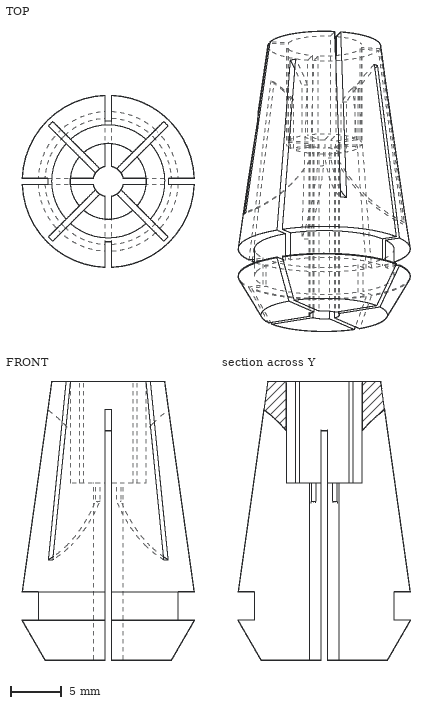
import cadquery as cq
import math

length = 27.5
max_radius = 8.5
nose_face_radius = 6.25
nose_half_angle = 30.0
taper_half_angle = 8.0

groove_bottom = 4.0
groove_top = 6.75
groove_radius = 6.9

clamp_radius = 1.5
relief_radius = 3.75
relief_depth = 10.0

slot_width = 0.6
saw_radius = 13.75
slots_per_set = 4
slot_pitch = 360.0 / slots_per_set

low_slot_end = 24.72
low_saw_distance = 14.2

high_slot_end = 9.9
high_saw_distance = 13.36

nose_cone_height = (max_radius - nose_face_radius) / math.tan(math.radians(nose_half_angle))
taper_slope = math.tan(math.radians(taper_half_angle))


def taper_radius(z):
    """Outer radius of the long taper at height z."""
    return max_radius - (z - groove_top) * taper_slope


def turned_body():
    """Collet blank with its stepped bore, revolved about Z."""
    relief_floor = length - relief_depth
    half_section = [
        (clamp_radius, 0),
        (nose_face_radius, 0),
        (max_radius, nose_cone_height),
        (max_radius, groove_bottom),
        (groove_radius, groove_bottom),
        (groove_radius, groove_top),
        (max_radius, groove_top),
        (taper_radius(length), length),
        (relief_radius, length),
        (relief_radius, relief_floor),
        (clamp_radius, relief_floor),
    ]
    return cq.Workplane("XZ").polyline(half_section).close().revolve(360, (0, 0, 0), (0, 1, 0))


def saw_slot(slot_end, saw_distance, direction, angle):
    """Cutter for a slot on one side of Z, closed at slot_end.

    The closed end faces up for direction +1 and down for -1.
    """
    reach_at_surface = saw_distance - taper_radius(slot_end)
    saw_height = slot_end - direction * math.sqrt(saw_radius**2 - reach_at_surface**2)
    open_height = saw_height - direction * length
    inner_edge = saw_distance - saw_radius
    outer_edge = saw_distance + saw_radius
    cutter = (
        cq.Workplane("XZ")
        .moveTo(inner_edge, open_height)
        .lineTo(inner_edge, saw_height)
        .threePointArc((saw_distance, saw_height + direction * saw_radius), (outer_edge, saw_height))
        .lineTo(outer_edge, open_height)
        .close()
        .extrude(slot_width / 2, both=True)
    )
    return cutter.rotate((0, 0, 0), (0, 0, 1), angle)


collet = turned_body().rotate((0, 0, 0), (0, 0, 1), slot_pitch / 4)
for index in range(slots_per_set):
    low_angle = index * slot_pitch
    high_angle = low_angle + slot_pitch / 2
    collet = collet.cut(saw_slot(low_slot_end, low_saw_distance, 1, low_angle))
    collet = collet.cut(saw_slot(high_slot_end, high_saw_distance, -1, high_angle))

result = collet